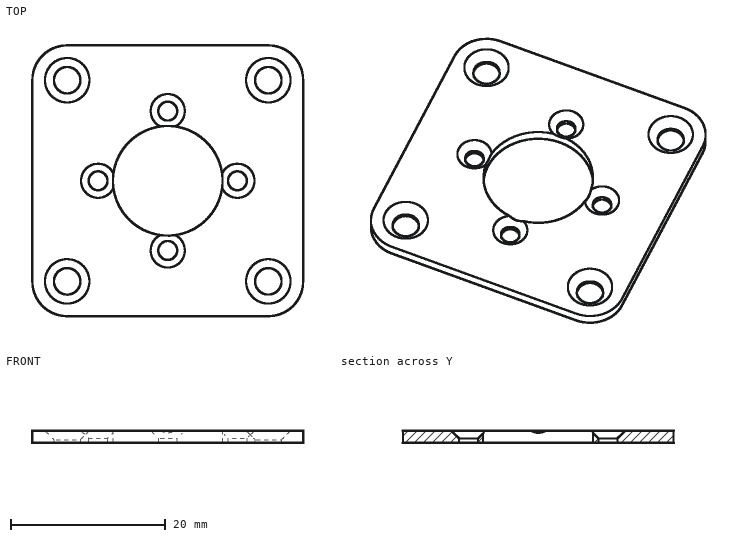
import cadquery as cq

side = 35.0
thickness = 1.58
corner_radius = 4.5

bore_diameter = 14.15

corner_hole_diameter = 3.4
corner_sink_diameter = 5.75
corner_hole_spacing = side - 2 * corner_radius

ring_hole_diameter = 2.4
ring_sink_diameter = 4.4
ring_radius = 9.0
ring_hole_count = 4

sink_angle = 90.0


def make_plate():
    """Rounded plate standing on the XY plane, with the bore cut through."""
    plate = cq.Workplane("XY").box(side, side, thickness, centered=(True, True, False))
    plate = plate.edges("|Z").fillet(corner_radius)
    return plate.faces(">Z").workplane().hole(bore_diameter)


def top_plane(body):
    """Workplane on the top face, centred on the plate."""
    return body.faces(">Z").workplane(origin=(0, 0, thickness))


def cut_corner_holes(body):
    centers = top_plane(body).rarray(corner_hole_spacing, corner_hole_spacing, 2, 2)
    return centers.cskHole(corner_hole_diameter, corner_sink_diameter, sink_angle)


def cut_ring_holes(body):
    centers = top_plane(body).polarArray(ring_radius, 0, 360, ring_hole_count)
    return centers.cskHole(ring_hole_diameter, ring_sink_diameter, sink_angle)


result = cut_ring_holes(cut_corner_holes(make_plate()))